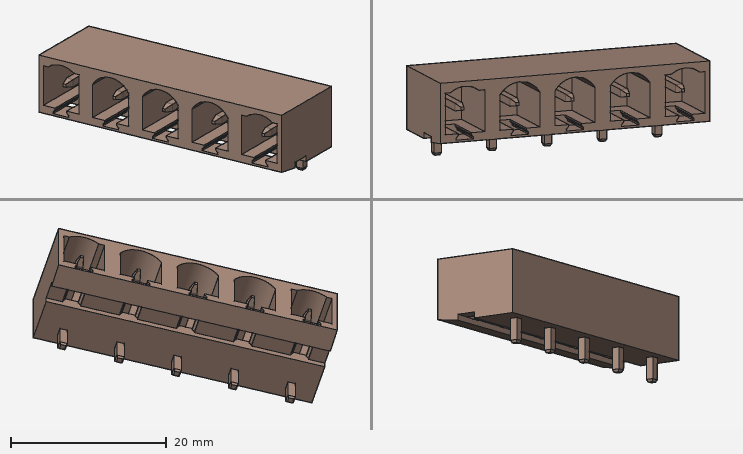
import cadquery as cq
import math


LENGTH = 37.28
DEPTH = 11.75
HEIGHT = 8.4
FRONT_EDGE_LIFT = 0.45
NOTCH_FRONT = 3.17
NOTCH_BACK = 5.75
NOTCH_HEIGHT = 0.8

SOCKET_COUNT = 5
END_MARGIN = 3.4
PITCH = (LENGTH - 2 * END_MARGIN) / (SOCKET_COUNT - 1)
SOCKET_HALF_WIDTH = 2.75
SOCKET_DEPTH = 8.0
SOCKET_FLOOR = 1.55
ROOF_RADIUS = 3.2
ROOF_TOP = HEIGHT - 0.67
END_WALL = 0.7
SHOULDER_HEIGHT = 7.05
SHOULDER_ARC_HALF_WIDTH = math.sqrt(ROOF_RADIUS**2 - (SHOULDER_HEIGHT - ROOF_TOP + ROOF_RADIUS) ** 2)

SLOT_LENGTH = NOTCH_BACK
SLOT_FLOOR = 0.75
SLOT_TOP_HALF_WIDTH = 0.9
SLOT_BOTTOM_HALF_WIDTH = 1.2
SLOT_LIP = 0.22

PIN_WIDTH = 1.0
CONTACT_HEIGHT = 4.62
CONTACT_FRONT = 0.85
CONTACT_TIP_WIDTH = 0.4
CONTACT_TAPER = 1.25
LEG_Y = DEPTH - 1.85
LEG_LENGTH = 3.2
LEG_TIP_WIDTH = 0.67
LEG_TAPER = 0.35

END_HALF_WIDTH = END_MARGIN - END_WALL
pin_centres = [END_MARGIN + i * PITCH for i in range(SOCKET_COUNT)]


def make_block():
    """Housing profile in the YZ plane, extruded along the row."""
    profile = [
        (0, FRONT_EDGE_LIFT),
        (NOTCH_FRONT, 0),
        (NOTCH_FRONT, NOTCH_HEIGHT),
        (NOTCH_BACK, NOTCH_HEIGHT),
        (NOTCH_BACK, 0),
        (DEPTH, 0),
        (DEPTH, HEIGHT),
        (0, HEIGHT),
    ]
    return cq.Workplane("YZ").polyline(profile).close().extrude(LENGTH)


def make_middle_socket(x):
    """Socket whose arched roof spans its full width."""
    spring_height = ROOF_TOP - ROOF_RADIUS + math.sqrt(ROOF_RADIUS**2 - SOCKET_HALF_WIDTH**2)
    return (
        cq.Workplane("XZ")
        .moveTo(x - SOCKET_HALF_WIDTH, SOCKET_FLOOR)
        .lineTo(x - SOCKET_HALF_WIDTH, spring_height)
        .threePointArc((x, ROOF_TOP), (x + SOCKET_HALF_WIDTH, spring_height))
        .lineTo(x + SOCKET_HALF_WIDTH, SOCKET_FLOOR)
        .close()
        .extrude(-SOCKET_DEPTH)
    )


def make_end_socket(x, left_half_width, right_half_width):
    """Socket with square shoulders on both sides of its arched roof."""
    return (
        cq.Workplane("XZ")
        .moveTo(x - left_half_width, SOCKET_FLOOR)
        .lineTo(x - left_half_width, SHOULDER_HEIGHT)
        .lineTo(x - SHOULDER_ARC_HALF_WIDTH, SHOULDER_HEIGHT)
        .threePointArc((x, ROOF_TOP), (x + SHOULDER_ARC_HALF_WIDTH, SHOULDER_HEIGHT))
        .lineTo(x + right_half_width, SHOULDER_HEIGHT)
        .lineTo(x + right_half_width, SOCKET_FLOOR)
        .close()
        .extrude(-SOCKET_DEPTH)
    )


def make_slot(x):
    """Dovetail slot in a socket floor, running from the front face to the back of the groove."""
    profile = [
        (x - SLOT_BOTTOM_HALF_WIDTH, SLOT_FLOOR),
        (x + SLOT_BOTTOM_HALF_WIDTH, SLOT_FLOOR),
        (x + SLOT_BOTTOM_HALF_WIDTH, SLOT_FLOOR + SLOT_LIP),
        (x + SLOT_TOP_HALF_WIDTH, SOCKET_FLOOR - SLOT_LIP),
        (x + SLOT_TOP_HALF_WIDTH, SOCKET_FLOOR),
        (x - SLOT_TOP_HALF_WIDTH, SOCKET_FLOOR),
        (x - SLOT_TOP_HALF_WIDTH, SOCKET_FLOOR - SLOT_LIP),
        (x - SLOT_BOTTOM_HALF_WIDTH, SLOT_FLOOR + SLOT_LIP),
    ]
    return cq.Workplane("XZ").polyline(profile).close().extrude(-SLOT_LENGTH)


def make_pin(x):
    """Right-angle square pin: contact arm along Y, solder leg down, both with tapered tips."""
    arm_start = CONTACT_FRONT + CONTACT_TAPER
    arm_end = LEG_Y + PIN_WIDTH / 2
    arm = (
        cq.Workplane("XZ", origin=(x, arm_start, CONTACT_HEIGHT))
        .rect(PIN_WIDTH, PIN_WIDTH)
        .extrude(arm_start - arm_end)
    )
    contact_tip = (
        cq.Workplane("XZ", origin=(x, arm_start, CONTACT_HEIGHT))
        .rect(PIN_WIDTH, PIN_WIDTH)
        .workplane(offset=CONTACT_TAPER)
        .rect(CONTACT_TIP_WIDTH, CONTACT_TIP_WIDTH)
        .loft()
    )
    leg_bottom = LEG_TAPER - LEG_LENGTH
    leg = (
        cq.Workplane("XY", origin=(x, LEG_Y, leg_bottom))
        .rect(PIN_WIDTH, PIN_WIDTH)
        .extrude(CONTACT_HEIGHT - leg_bottom)
    )
    leg_tip = (
        cq.Workplane("XY", origin=(x, LEG_Y, leg_bottom))
        .rect(PIN_WIDTH, PIN_WIDTH)
        .workplane(offset=-LEG_TAPER)
        .rect(LEG_TIP_WIDTH, LEG_TIP_WIDTH)
        .loft()
    )
    return arm.union(contact_tip).union(leg).union(leg_tip).clean()


def make_housing(pins):
    """Block with its sockets and slots, and a matching hole around each pin."""
    housing = make_block()
    housing = housing.cut(make_end_socket(pin_centres[0], END_HALF_WIDTH, SOCKET_HALF_WIDTH))
    for x in pin_centres[1:-1]:
        housing = housing.cut(make_middle_socket(x))
    housing = housing.cut(make_end_socket(pin_centres[-1], SOCKET_HALF_WIDTH, END_HALF_WIDTH))
    for x in pin_centres:
        housing = housing.cut(make_slot(x))
    for pin in pins:
        housing = housing.cut(pin)
    return housing


pins = [make_pin(x) for x in pin_centres]
housing = make_housing(pins)

result = cq.Compound.makeCompound([housing.val(), *[pin.val() for pin in pins]])